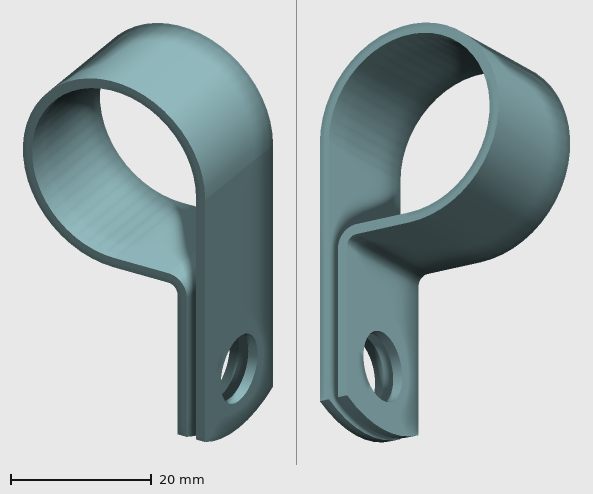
import cadquery as cq
import math

strap_width = 19.05
strap_thickness = 1.524
loop_inner_diameter = 26.975
leg_gap = 1.524
bend_inner_radius = 1.524
loop_center_to_tip = 41.275
bolt_hole_diameter = 10.32
bolt_hole_to_tip = 9.525
tip_radius = 22.225

inner_radius = loop_inner_diameter / 2
outer_radius = inner_radius + strap_thickness
bend_outer_radius = bend_inner_radius + strap_thickness
short_leg_outer_x = inner_radius - leg_gap
short_leg_inner_x = short_leg_outer_x - strap_thickness
bend_center_x = short_leg_outer_x - bend_outer_radius
bend_center_z = -outer_radius - bend_inner_radius
tip_z = -loop_center_to_tip
hole_z = tip_z + bolt_hole_to_tip
half_width = strap_width / 2
tip_rise = tip_radius - math.sqrt(tip_radius**2 - half_width**2)


def make_strap():
    """Bent strap: long straight leg, three-quarter loop, shelf, bend and short leg."""
    diagonal = math.sqrt(0.5)
    bend_outer_mid = (
        bend_center_x + bend_outer_radius * diagonal,
        bend_center_z + bend_outer_radius * diagonal,
    )
    bend_inner_mid = (
        bend_center_x + bend_inner_radius * diagonal,
        bend_center_z + bend_inner_radius * diagonal,
    )
    outer_mid = (-outer_radius * diagonal, outer_radius * diagonal)
    inner_mid = (-inner_radius * diagonal, inner_radius * diagonal)
    return (
        cq.Workplane("XZ")
        .moveTo(outer_radius, tip_z)
        .lineTo(outer_radius, 0)
        .threePointArc(outer_mid, (0, -outer_radius))
        .lineTo(bend_center_x, -outer_radius)
        .threePointArc(bend_inner_mid, (short_leg_inner_x, bend_center_z))
        .lineTo(short_leg_inner_x, tip_z)
        .lineTo(short_leg_outer_x, tip_z)
        .lineTo(short_leg_outer_x, bend_center_z)
        .threePointArc(bend_outer_mid, (bend_center_x, -inner_radius))
        .lineTo(0, -inner_radius)
        .threePointArc(inner_mid, (inner_radius, 0))
        .lineTo(inner_radius, tip_z)
        .close()
        .extrude(half_width, both=True)
    )


def make_tip_envelope():
    """Side outline with the arched lower edge that trims both leg ends."""
    corner_z = tip_z + tip_rise
    return (
        cq.Workplane("YZ")
        .moveTo(-half_width, outer_radius)
        .lineTo(-half_width, corner_z)
        .threePointArc((0, tip_z), (half_width, corner_z))
        .lineTo(half_width, outer_radius)
        .close()
        .extrude(outer_radius, both=True)
    )


def make_bolt_hole():
    """Cutter along X that passes through both legs."""
    return (
        cq.Workplane("YZ")
        .center(0, hole_z)
        .circle(bolt_hole_diameter / 2)
        .extrude(outer_radius)
    )


result = make_strap().intersect(make_tip_envelope()).cut(make_bolt_hole())